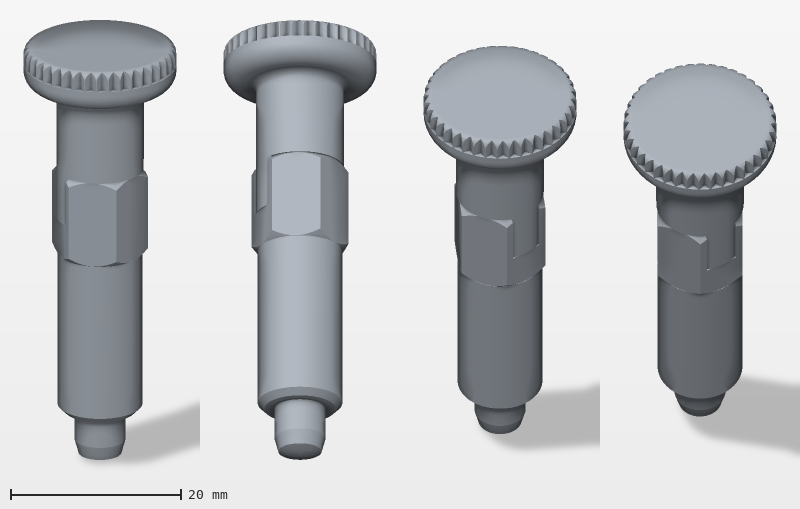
import cadquery as cq
import math


total_height = 52.0

head_radius = 9.0
head_top_round = 1.0
head_height = 5.0
head_bottom_round = 2.0

groove_count = 40
groove_depth = 0.7
groove_height = 2.25

neck_radius = 5.15
neck_round = 0.85
key_width = 4.0
key_length = 6.1

pin_radius = 3.0
nose_start_z = 2.3
nose_end_z = 0.55
nose_end_radius = 2.55

guide_top_z = 36.6
hex_across_flats = 9.95
hex_height = 10.6
hex_end_radius = 4.95
barrel_radius = 5.0
barrel_bottom_z = 6.0
barrel_chamfer = 0.8

head_bottom_z = total_height - head_height
hex_bottom_z = guide_top_z - hex_height
key_bottom_z = guide_top_z - key_length
hex_corner_radius = hex_across_flats / 2 / math.cos(math.radians(30))


def rounded_corner(profile, center_x, center_z, radius, middle_angle, end_angle):
    """Continue the profile with an arc about a centre, through one angle to another."""
    middle = math.radians(middle_angle)
    end = math.radians(end_angle)
    return profile.threePointArc(
        (center_x + radius * math.cos(middle), center_z + radius * math.sin(middle)),
        (center_x + radius * math.cos(end), center_z + radius * math.sin(end)),
    )


def turned_knob():
    """Head, neck and pin as one turned shape."""
    profile = (
        cq.Workplane("XZ")
        .moveTo(0, 0)
        .threePointArc((nose_end_radius / 2, nose_end_z / 4), (nose_end_radius, nose_end_z))
        .lineTo(pin_radius, nose_start_z)
        .lineTo(pin_radius, guide_top_z)
        .lineTo(neck_radius, guide_top_z)
        .lineTo(neck_radius, head_bottom_z - neck_round)
    )
    profile = rounded_corner(
        profile, neck_radius + neck_round, head_bottom_z - neck_round, neck_round, 135, 90
    )
    profile = profile.lineTo(head_radius - head_bottom_round, head_bottom_z)
    profile = rounded_corner(
        profile, head_radius - head_bottom_round, head_bottom_z + head_bottom_round, head_bottom_round, -45, 0
    )
    profile = profile.lineTo(head_radius, total_height - head_top_round)
    profile = rounded_corner(
        profile, head_radius - head_top_round, total_height - head_top_round, head_top_round, 45, 90
    )
    return profile.lineTo(0, total_height).close().revolve(360, (0, 0, 0), (0, 1, 0))


def knurl_grooves():
    """V grooves around the rim, open at the top, with a flat floor."""
    root_radius = head_radius - groove_depth
    reach = 2 * groove_depth
    groove = (
        cq.Workplane("XY", origin=(0, 0, total_height - groove_height))
        .moveTo(root_radius, 0)
        .lineTo(root_radius + reach, reach)
        .lineTo(root_radius + reach, -reach)
        .close()
        .extrude(groove_height)
        .val()
    )
    pitch_angle = 360 / groove_count
    return [groove.rotate((0, 0, 0), (0, 0, 1), i * pitch_angle) for i in range(groove_count)]


def key_bar(length):
    """Bar along Y that the keys and their slot share, from the key ends up to the guide top."""
    return cq.Workplane("XY", origin=(0, 0, key_bottom_z)).rect(key_width, length).extrude(key_length)


def make_knob():
    """Pull knob with knurled head, neck, keys and pin."""
    neck_core = cq.Workplane("XY", origin=(0, 0, key_bottom_z)).circle(neck_radius).extrude(key_length)
    keys = key_bar(2 * neck_radius).intersect(neck_core)
    knob = turned_knob().union(keys)
    return cq.Workplane(knob.val().cut(*knurl_grooves()))


def chamfered_hex():
    """Hexagon with corners on X, its ends turned down at 45 degrees."""
    hexagon = (
        cq.Workplane("XY", origin=(0, 0, hex_bottom_z)).polygon(6, 2 * hex_corner_radius).extrude(hex_height)
    )
    corner_drop = hex_corner_radius - hex_end_radius
    envelope = (
        cq.Workplane("XY", origin=(0, 0, hex_bottom_z))
        .circle(hex_corner_radius)
        .extrude(hex_height)
        .edges()
        .chamfer(corner_drop)
    )
    return hexagon.intersect(envelope)


def make_guide():
    """Hexagonal guide with barrel, pin bore and the slot for the keys."""
    barrel = (
        cq.Workplane("XY", origin=(0, 0, barrel_bottom_z))
        .circle(barrel_radius)
        .extrude(hex_bottom_z - barrel_bottom_z)
        .faces("<Z")
        .chamfer(barrel_chamfer)
    )
    bore = (
        cq.Workplane("XY", origin=(0, 0, barrel_bottom_z))
        .circle(pin_radius)
        .extrude(guide_top_z - barrel_bottom_z)
    )
    slot = key_bar(2 * hex_corner_radius)
    return chamfered_hex().union(barrel).cut(bore).cut(slot)


knob = make_knob()
guide = make_guide()

result = cq.Compound.makeCompound([knob.val(), guide.val()])